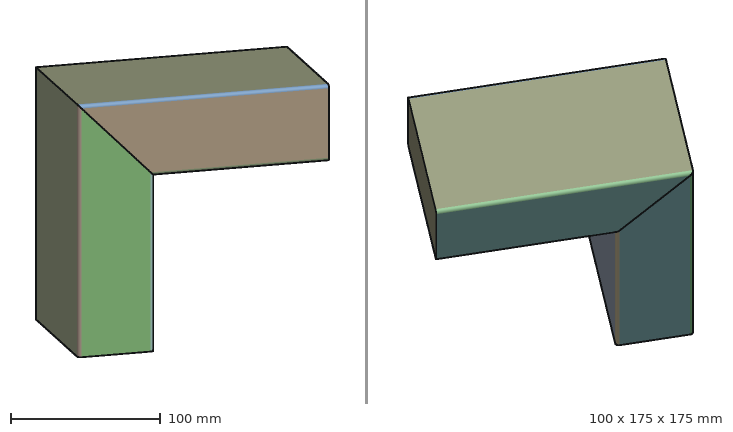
import cadquery as cq

leg_length = 175.0
bar_width = 100.0
bar_thickness = 53.0
edge_radius = 2.5

inner_corner = (bar_thickness, -bar_thickness)


def mitred_bar(outline, long_edges):
    """Extrude a side outline (Y, Z) across the width, centred on X, and round its long edges."""
    bar = cq.Workplane("YZ").polyline(outline).close().extrude(bar_width / 2, both=True)
    sides = bar.faces("<X or >X")
    return bar.newObject(sides.edges(long_edges).vals()).fillet(edge_radius)


horizontal_bar = mitred_bar(
    [(0, 0), inner_corner, (leg_length, -bar_thickness), (leg_length, 0)],
    "|Y",
)

vertical_bar = mitred_bar(
    [(0, 0), inner_corner, (bar_thickness, -leg_length), (0, -leg_length)],
    "|Z",
)

result = cq.Compound.makeCompound([horizontal_bar.val(), vertical_bar.val()])